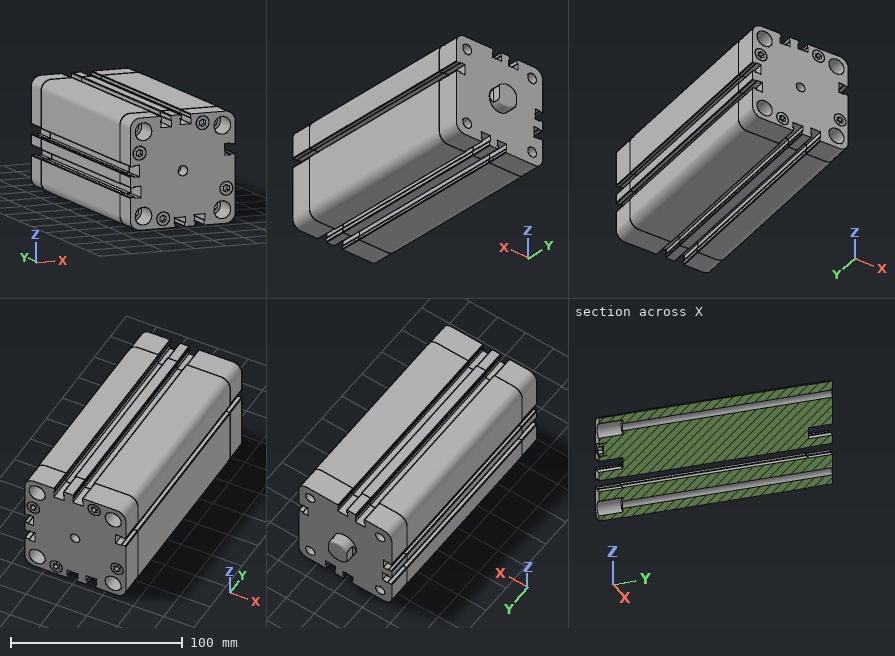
import cadquery as cq
import math

BARREL_SIDE = 67.0
TOTAL_LENGTH = 153.0
ROD_LENGTH = 7.5
CAP_LENGTH = 15.0
HOUSING_LENGTH = TOTAL_LENGTH - ROD_LENGTH
CAP_INSET = 0.2
CORNER_RADIUS = 6.5

NECK_WIDTH = 5.4
CHAMBER_WIDTH = 6.4
LIP_CHAMFER = 0.4
CUT_CLEARANCE = 1.0
DEEP_SLOT = {"position": -10.6, "depth": 6.75, "neck_depth": 3.0}
SHALLOW_SLOT = {"position": 1.85, "depth": 5.85, "neck_depth": 2.4}

MOUNT_OFFSET = 25.0
MOUNT_HOLE_DIAMETER = 6.65
MOUNT_BORE_DIAMETER = 10.5
MOUNT_BORE_DEPTH = CAP_LENGTH

SCREW_NEAR_EDGE = 27.5
SCREW_ALONG_SIDE = 12.5
SCREW_HEAD_DIAMETER = 8.0
SCREW_RECESS_DIAMETER = 8.25
SCREW_HEAD_LENGTH = 5.0
HEX_SIDES = 6
HEX_ACROSS_FLATS = 3.8
HEX_DEPTH = 3.0

CENTRE_HOLE_DIAMETER = 6.0
CENTRE_HOLE_DEPTH = 10.0

ROD_DIAMETER = 16.0
ROD_ACROSS_FLATS = 13.0
ROD_TIP_FILLET = 1.4
FLAT_START = 2.0

FRONT_Y = -TOTAL_LENGTH / 2
REAR_Y = FRONT_Y + HOUSING_LENGTH
TIP_Y = REAR_Y + ROD_LENGTH


def section_plane(y):
    """Sketch plane across the cylinder: local x is X, local y is Z, extrusions run toward +Y."""
    return cq.Workplane(cq.Plane(origin=(0, y, 0), xDir=(1, 0, 0), normal=(0, -1, 0)))


def rounded_bar(inset, y, length):
    side = BARREL_SIDE - 2 * inset
    corner_radius = CORNER_RADIUS - inset
    return section_plane(y).rect(side, side).extrude(-length).edges("|Y").fillet(corner_radius)


def cylinder(x, z, diameter, y, length):
    return section_plane(y).center(x, z).circle(diameter / 2).extrude(-length)


def slot_cutter(slot, inset, y, length):
    """T-slot with chamfered lips for the top side, its outline moved into the material by the inset."""
    surface = BARREL_SIDE / 2 - inset
    clear = BARREL_SIDE / 2 + CUT_CLEARANCE
    floor = surface - slot["depth"]
    shoulder = surface - slot["neck_depth"]
    half_neck = NECK_WIDTH / 2 + inset
    half_mouth = half_neck + LIP_CHAMFER
    half_chamber = CHAMBER_WIDTH / 2 + inset
    right_half = [
        (half_chamber, floor),
        (half_chamber, shoulder),
        (half_neck, shoulder),
        (half_neck, surface - LIP_CHAMFER),
        (half_mouth, surface),
        (half_mouth, clear),
    ]
    left_half = [(-x, z) for x, z in reversed(right_half)]
    sketch = section_plane(y).center(slot["position"], 0)
    return sketch.polyline(right_half + left_half).close().extrude(-length)


def slotted_bar(inset, y, length):
    """One length of the housing. The right side has only the deep slot."""
    bar = rounded_bar(inset, y, length)
    slots_by_side = [
        (0, [DEEP_SLOT, SHALLOW_SLOT]),
        (90, [DEEP_SLOT]),
        (180, [DEEP_SLOT, SHALLOW_SLOT]),
        (270, [DEEP_SLOT, SHALLOW_SLOT]),
    ]
    for angle, slots in slots_by_side:
        for slot in slots:
            cutter = slot_cutter(slot, inset, y, length)
            bar = bar.cut(cutter.rotate((0, 0, 0), (0, 1, 0), angle))
    return bar


def make_housing():
    """The barrel between two end caps whose whole outline is slightly inset."""
    barrel_length = HOUSING_LENGTH - 2 * CAP_LENGTH
    barrel_y = FRONT_Y + CAP_LENGTH
    front_cap = slotted_bar(CAP_INSET, FRONT_Y, CAP_LENGTH)
    barrel = slotted_bar(0, barrel_y, barrel_length)
    rear_cap = slotted_bar(CAP_INSET, REAR_Y - CAP_LENGTH, CAP_LENGTH)
    return front_cap.union(barrel).union(rear_cap)


def cut_mounting_holes(body):
    for x in (-MOUNT_OFFSET, MOUNT_OFFSET):
        for z in (-MOUNT_OFFSET, MOUNT_OFFSET):
            body = body.cut(cylinder(x, z, MOUNT_HOLE_DIAMETER, FRONT_Y, HOUSING_LENGTH))
            body = body.cut(cylinder(x, z, MOUNT_BORE_DIAMETER, FRONT_Y, MOUNT_BORE_DEPTH))
    return body


def cut_screw_heads(body):
    """Each flush screw head has a thin ring of clearance around it and a hexagon socket."""
    recess = cylinder(0, 0, SCREW_RECESS_DIAMETER, FRONT_Y, SCREW_HEAD_LENGTH)
    head = cylinder(0, 0, SCREW_HEAD_DIAMETER, FRONT_Y, SCREW_HEAD_LENGTH)
    across_corners = HEX_ACROSS_FLATS / math.cos(math.pi / HEX_SIDES)
    socket_sketch = section_plane(FRONT_Y).transformed(rotate=(0, 0, 90)).polygon(HEX_SIDES, across_corners)
    socket = socket_sketch.extrude(-HEX_DEPTH)
    cutter = recess.cut(head).union(socket)
    places = [
        (SCREW_ALONG_SIDE, SCREW_NEAR_EDGE),
        (SCREW_NEAR_EDGE, -SCREW_ALONG_SIDE),
        (-SCREW_ALONG_SIDE, -SCREW_NEAR_EDGE),
        (-SCREW_NEAR_EDGE, SCREW_ALONG_SIDE),
    ]
    for x, z in places:
        body = body.cut(cutter.translate((x, 0, z)))
    return body


def cut_centre_hole(body):
    return body.cut(cylinder(0, 0, CENTRE_HOLE_DIAMETER, FRONT_Y, CENTRE_HOLE_DEPTH))


def make_rod():
    """Rod stub with a rounded tip and two flats that run out on 45 degree slopes."""
    radius = ROD_DIAMETER / 2
    root_y = REAR_Y - CAP_LENGTH / 2
    rod = cylinder(0, 0, ROD_DIAMETER, root_y, TIP_Y - root_y).faces(">Y").edges().fillet(ROD_TIP_FILLET)

    half_flats = ROD_ACROSS_FLATS / 2
    slope = radius - half_flats
    flat_y = REAR_Y + FLAT_START
    flat_outline = [
        (half_flats, TIP_Y),
        (half_flats, flat_y),
        (radius, flat_y - slope),
        (radius, TIP_Y),
    ]
    flat = cq.Workplane("XY").polyline(flat_outline).close().extrude(radius, both=True)
    return rod.cut(flat).cut(flat.mirror("YZ"))


housing = make_housing()
housing = cut_mounting_holes(housing)
housing = cut_screw_heads(housing)
housing = cut_centre_hole(housing)
result = housing.union(make_rod())